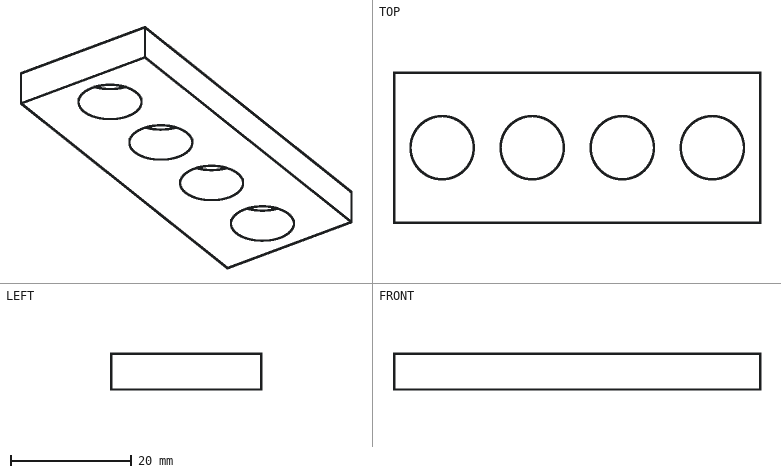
import cadquery as cq

plate_length = 61.0
plate_width = 25.0
plate_thickness = 6.0

hole_count = 4
hole_diameter = 10.5
hole_pitch = 15.0


def make_plate():
    """Rectangular plate centred on the origin."""
    return cq.Workplane("XY").box(plate_length, plate_width, plate_thickness)


def drill_hole_row(plate):
    """Drill a centred row of equally spaced through holes along X."""
    return (
        plate.faces(">Z")
        .workplane()
        .rarray(hole_pitch, 1, hole_count, 1)
        .hole(hole_diameter)
    )


result = drill_hole_row(make_plate())